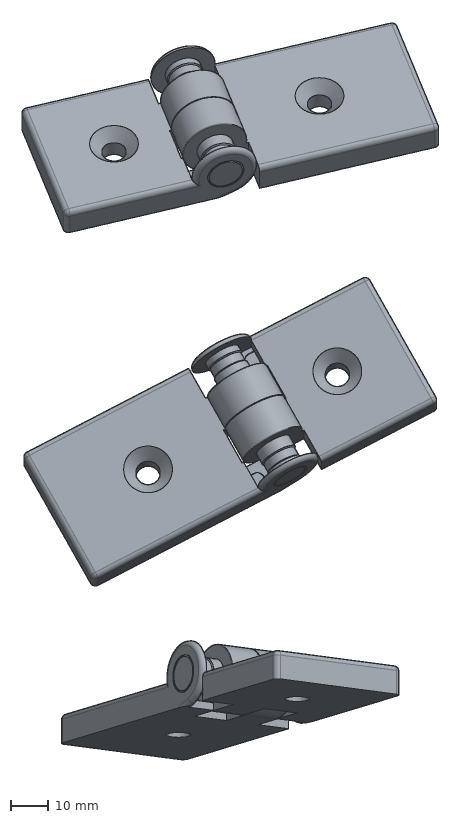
import cadquery as cq
import math

WIDTH = 40.0
PLATE_T = 8.0
HEIGHT = 18.0
LONG_REACH = 60.0
SHORT_REACH = 45.0
LONG_HOLE_Y = 32.4
SHORT_HOLE_Y = 25.1
CLEARANCE_Y = 9.5

EDGE_ROUND = 1.5
FLANGE_T = 1.6
KNUCKLE_RIM = 0.2
KNUCKLE_END = 10.2
MIDDLE_GAP = 0.2
SLOT_END = 10.3
TAIL_ANGLE = 19.0

HOLE_D = 6.5
COUNTERSINK_D = 13.0
COUNTERSINK_ANGLE = 90

FLOOR_Z = 2.1
TAB_W = 3.9
TAB_REACH = 3.6
TAB_H = 0.6

PIN_R = 5.0
PIN_CHAMFER = 0.4
GROOVE_X = 15.0
GROOVE_W = 3.2
GROOVE_DEPTH = 0.3

HALF_W = WIDTH / 2
KNUCKLE_R = HEIGHT / 2
AXIS_Z = KNUCKLE_R
FLANGE_IN = HALF_W - FLANGE_T

TAIL_SLOPE = math.radians(TAIL_ANGLE)
TAIL_START_Y = -KNUCKLE_R * math.sin(TAIL_SLOPE)
TAIL_START_Z = AXIS_Z - KNUCKLE_R * math.cos(TAIL_SLOPE)
TAIL_END_Z = -EDGE_ROUND / math.cos(TAIL_SLOPE)
TAIL_END_Y = TAIL_START_Y + (TAIL_START_Z - TAIL_END_Z) / math.tan(TAIL_SLOPE)


def block(x0, x1, y0, y1, z0, z1):
    """Box between two opposite corners."""
    return cq.Workplane("XY").box(x1 - x0, y1 - y0, z1 - z0, centered=False).translate((x0, y0, z0))


def plate(reach):
    """Plate from the hinge axis to its outer end, rounded along its sides and outer end."""
    body = block(-HALF_W, HALF_W, 0, reach, 0, PLATE_T)
    body = body.edges("|Z and >Y").fillet(EDGE_ROUND)
    return body.faces(">Z").edges("not <Y").fillet(EDGE_ROUND)


def axis_clearance():
    """Space cleared from the plate near the axis for the other leaf, the pin and the end flange."""
    other_leaf_gap = block(-SLOT_END, HALF_W, 0, CLEARANCE_Y, 0, PLATE_T)
    pin_relief = block(-FLANGE_IN, -SLOT_END, 0, KNUCKLE_R, FLOOR_Z, PLATE_T)
    flange_seat = block(-HALF_W, -FLANGE_IN, 0, TAIL_END_Y, 0, PLATE_T)
    return other_leaf_gap.union(pin_relief).union(flange_seat)


def floor_tab():
    """Round-ended tab on the relief floor, reaching out from the relief wall under the pin groove."""
    tip_y = KNUCKLE_R - TAB_REACH
    round_y = tip_y + TAB_W / 2
    return (
        cq.Workplane("XY", origin=(-GROOVE_X, 0, FLOOR_Z))
        .moveTo(-TAB_W / 2, KNUCKLE_R)
        .lineTo(-TAB_W / 2, round_y)
        .threePointArc((0, tip_y), (TAB_W / 2, round_y))
        .lineTo(TAB_W / 2, KNUCKLE_R)
        .close()
        .extrude(TAB_H)
    )


def end_flange():
    """Disc at -X with a rounded outer rim and a straight tail that runs out into the underside."""
    disc = cq.Workplane("YZ", origin=(-HALF_W, 0, AXIS_Z)).circle(KNUCKLE_R).extrude(FLANGE_T)
    disc = disc.faces("<X").edges().fillet(EDGE_ROUND)
    tail = (
        cq.Workplane("YZ", origin=(-HALF_W, 0, 0))
        .polyline([(0, AXIS_Z), (TAIL_START_Y, TAIL_START_Z), (TAIL_END_Y, TAIL_END_Z), (TAIL_END_Y, AXIS_Z)])
        .close()
        .extrude(FLANGE_T)
    )
    tail = tail.faces("<X").edges("<Z").fillet(EDGE_ROUND)
    above_underside = block(-HALF_W, HALF_W, -KNUCKLE_R, KNUCKLE_R, 0, 2 * KNUCKLE_R)
    return disc.union(tail).intersect(above_underside)


def knuckle():
    """Barrel at +X of the middle plane with rounded rims, joined to the plate by a web."""
    length = KNUCKLE_END - MIDDLE_GAP / 2
    barrel = cq.Workplane("YZ", origin=(MIDDLE_GAP / 2, 0, AXIS_Z)).circle(KNUCKLE_R).extrude(length)
    barrel = barrel.faces(">X").edges().fillet(KNUCKLE_RIM)
    web = block(MIDDLE_GAP / 2, KNUCKLE_END, 0, CLEARANCE_Y, 0, PLATE_T)
    return barrel.union(web)


def screw_hole(hole_y):
    """Through hole with a conical countersink at the plate's upper face."""
    cone_depth = (COUNTERSINK_D - HOLE_D) / 2 / math.tan(math.radians(COUNTERSINK_ANGLE / 2))
    cone = cq.Workplane(cq.Solid.makeCone(HOLE_D / 2, COUNTERSINK_D / 2, cone_depth))
    shank = cq.Workplane("XY").circle(HOLE_D / 2).extrude(PLATE_T)
    return shank.union(cone.translate((0, 0, PLATE_T - cone_depth))).translate((0, hole_y, 0))


def pin_cylinder():
    """Full-width cylinder on the hinge axis: the pin blank and its bore."""
    return cq.Workplane("YZ", origin=(-HALF_W, 0, AXIS_Z)).circle(PIN_R).extrude(WIDTH)


def leaf(reach, hole_y):
    """Leaf on the +Y side of the hinge axis: plate, end flange at -X and knuckle at +X."""
    body = plate(reach).cut(axis_clearance())
    body = body.union(floor_tab()).union(end_flange()).union(knuckle())
    return body.cut(pin_cylinder()).cut(screw_hole(hole_y))


def groove(x):
    """Ring with 45 degree sides, cut into the pin around its axis."""
    floor_r = PIN_R - GROOVE_DEPTH
    half_top = GROOVE_W / 2
    half_floor = half_top - GROOVE_DEPTH
    return (
        cq.Workplane("XZ", origin=(x, 0, AXIS_Z))
        .polyline([(-half_top, PIN_R), (-half_floor, floor_r), (half_floor, floor_r), (half_top, PIN_R)])
        .close()
        .revolve(360, (0, 0, 0), (1, 0, 0))
    )


def hinge_pin():
    """Pin through both leaves, flush with the flanges, with one groove in each open stretch."""
    body = pin_cylinder().faces("<X or >X").edges().chamfer(PIN_CHAMFER)
    for side in (-1, 1):
        body = body.cut(groove(side * GROOVE_X))
    return body


long_leaf = leaf(LONG_REACH, LONG_HOLE_Y)
short_leaf = leaf(SHORT_REACH, SHORT_HOLE_Y).rotate((0, 0, 0), (0, 0, 1), 180)
pin = hinge_pin()

result = cq.Compound.makeCompound([long_leaf.solids().val(), short_leaf.solids().val(), pin.solids().val()])